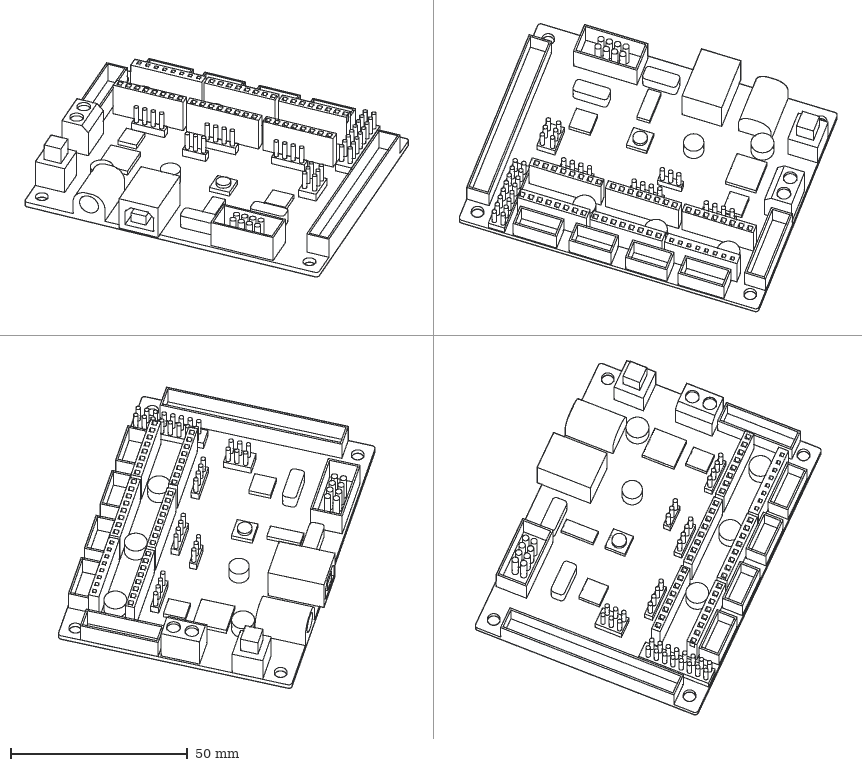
import cadquery as cq


board_length = 89.8
board_width = 68.55
board_thickness = 1.6
board_corner_radius = 1.0
mount_hole_diameter = 3.6
mount_hole_left_inset = 3.8
mount_hole_right_inset = 4.3
mount_hole_edge_inset = 4.1
edge_gap = 0.045

header_base_height = 2.3
header_pin_top = 7.5
header_pin_diameter = 1.3
socket_height = 10.1
socket_contact_count = 8
socket_contact_depth = 2.7
shroud_wall = 0.5
shroud_floor = 0.5
shroud_height = 6.4
chip_height = 1.35
capacitor_height = 4.0
capacitor_diameter = 6.5
crystal_height = 4.0
crystal_corner_radius = 1.1


def block(corner, size, height):
    """Plain box standing on the board."""
    return (
        cq.Workplane("XY", origin=(corner[0], corner[1], board_thickness))
        .box(size[0], size[1], height, centered=False)
    )


def post(center, diameter, bottom, top):
    """Upright cylinder between two heights above the board."""
    return (
        cq.Workplane("XY", origin=(center[0], center[1], board_thickness + bottom))
        .circle(diameter / 2)
        .extrude(top - bottom)
    )


def grid_points(first, span, counts):
    """Evenly spaced points: counts per direction over the given span from the first point."""
    step_x = span[0] / max(counts[0] - 1, 1)
    step_y = span[1] / max(counts[1] - 1, 1)
    return [
        (first[0] + column * step_x, first[1] + row * step_y)
        for column in range(counts[0])
        for row in range(counts[1])
    ]


def pin_header(corner, size, pin_inset, pin_span, pin_counts):
    """Low plastic base with upright round pins; the inset is from the base corner."""
    first_pin = (corner[0] + pin_inset[0], corner[1] + pin_inset[1])
    header = block(corner, size, header_base_height)
    for point in grid_points(first_pin, pin_span, pin_counts):
        header = header.union(post(point, header_pin_diameter, header_base_height, header_pin_top))
    return header


def socket_strip(corner, size, contact_inset, contact_span, contact_size):
    """Tall strip with one row of square contact openings in its top."""
    first_contact = (corner[0] + contact_inset[0], corner[1] + contact_inset[1])
    points = grid_points(first_contact, (contact_span, 0), (socket_contact_count, 1))
    openings = (
        cq.Workplane("XY", origin=(0, 0, board_thickness + socket_height - socket_contact_depth))
        .pushPoints(points)
        .rect(contact_size, contact_size)
        .extrude(socket_contact_depth)
    )
    return block(corner, size, socket_height).cut(openings)


def shroud(corner, size, height):
    """Thin-walled open box with a thin floor."""
    inner_size = (size[0] - 2 * shroud_wall, size[1] - 2 * shroud_wall)
    inner_corner = (corner[0] + shroud_wall, corner[1] + shroud_wall)
    cavity = block(inner_corner, inner_size, height).translate((0, 0, shroud_floor))
    return block(corner, size, height).cut(cavity)


def make_board():
    """Rounded rectangular plate with a mounting hole near each corner."""
    hole_left_x = mount_hole_left_inset
    hole_right_x = board_length - mount_hole_right_inset
    hole_span = (hole_right_x - hole_left_x, board_width - 2 * mount_hole_edge_inset)
    hole_points = grid_points((hole_left_x, mount_hole_edge_inset), hole_span, (2, 2))
    return (
        cq.Workplane("XY")
        .box(board_length, board_width, board_thickness, centered=False)
        .edges("|Z")
        .fillet(board_corner_radius)
        .faces(">Z")
        .workplane(origin=(0, 0, 0))
        .pushPoints(hole_points)
        .hole(mount_hole_diameter)
    )


def make_socket_strips():
    """Two rows of three socket strips along the back of the board."""
    back_y = 58.85
    back_depth = 3.05
    front_y = 48.15
    front_depth = 2.6
    small_contact = 1.0
    large_contact = 1.35
    return [
        socket_strip((8.6, back_y), (21.7, back_depth), (1.8, 1.8), 18.2, small_contact),
        socket_strip((31.1, back_y), (21.65, back_depth), (1.6, 1.6), 18.9, large_contact),
        socket_strip((53.7, back_y), (20.75, back_depth), (1.35, 1.6), 18.5, large_contact),
        socket_strip((7.6, front_y), (21.4, front_depth), (1.4, 1.4), 18.4, large_contact),
        socket_strip((30.0, front_y), (22.0, front_depth), (1.7, 1.3), 18.5, large_contact),
        socket_strip((53.4, front_y), (21.5, front_depth), (1.1, 1.3), 18.7, large_contact),
    ]


def make_shrouds():
    """Long shrouds on the left and right edges and four short ones on the back edge."""
    back_y = 62.2
    back_depth = 6.1
    parts = [
        shroud((edge_gap, 39.1), (6.3, 22.8), shroud_height),
        shroud((83.1, 8.1), (6.7, 53.4), shroud_height),
    ]
    for left_x, length in [(10.3, 13.7), (27.4, 12.4), (44.1, 12.6), (60.5, 13.0)]:
        parts.append(shroud((left_x, back_y), (length, back_depth), shroud_height))
    return parts


def make_pin_headers():
    """Three four-pin rows, a three-pin row, a six-pin block and a sixteen-pin block."""
    row_y = 43.1
    row_size = (10.1, 2.3)
    row_inset = (1.0, 1.2)
    parts = [
        pin_header((left_x, row_y), row_size, row_inset, (7.7, 0), (4, 1))
        for left_x in (15.3, 36.9, 58.0)
    ]
    parts.append(pin_header((33.3, 37.0), (7.1, 2.1), (1.1, 1.1), (4.9, 0), (3, 1)))
    parts.append(pin_header((71.1, 31.4), (5.4, 8.1), (1.1, 1.9), (3.05, 5.1), (2, 3)))
    parts.append(pin_header((76.1, 46.8), (4.85, 21.5), (0.9, 2.3), (2.6, 17.8), (2, 8)))
    return parts


def make_box_header():
    """Shrouded eight-pin connector near the front edge."""
    height = 8.1
    pin_top = 8.5
    pin_diameter = 1.8
    body = shroud((56.8, 0.7), (19.05, 9.3), height)
    for point in grid_points((62.3, 3.95), (7.5, 2.6), (4, 2)):
        body = body.union(post(point, pin_diameter, shroud_floor, pin_top))
    return body


def make_terminal_block():
    """Two-screw terminal block whose inner top edge is cut by a sloping face."""
    left_x = 0.5
    front_y = 27.0
    length = 8.1
    width = 11.3
    height = 10.1
    slope_size = 2.0
    screw_x = 3.8
    first_screw_y = 30.2
    screw_spacing = 5.4
    screw_diameter = 3.9
    screw_depth = 1.0
    screw_points = grid_points((screw_x, first_screw_y), (0, screw_spacing), (1, 2))
    body = block((left_x, front_y), (length, width), height)
    body = body.edges(">X and >Z").chamfer(slope_size)
    for point in screw_points:
        body = body.cut(post(point, screw_diameter, height - screw_depth, height))
    return body


def make_power_switch():
    """Square switch body with a centered square knob."""
    side = 9
    body_height = 8.4
    knob_side = 5.1
    knob_top = 13.5
    left_x = edge_gap
    knob_inset = (side - knob_side) / 2
    front_y = 8.4
    body = block((left_x, front_y), (side, side), body_height)
    knob_corner = (left_x + knob_inset, front_y + knob_inset)
    return body.union(block(knob_corner, (knob_side, knob_side), knob_top))


def make_power_jack():
    """Barrel jack with rounded shoulders and a blind round bore in its front face."""
    left_x = 15.0
    width = 9.7
    length = 14.7
    height = 8.4
    shoulder_radius = 4.0
    bore_diameter = 5.75
    bore_height = 4.6
    bore_depth = 10.8
    body = block((left_x, 0), (width, length), height)
    body = body.edges("|Y and >Z").fillet(shoulder_radius)
    bore = (
        cq.Workplane("XZ", origin=(left_x + width / 2, 0, board_thickness + bore_height))
        .circle(bore_diameter / 2)
        .extrude(-bore_depth)
    )
    return body.cut(bore)


def make_usb_socket():
    """USB socket overhanging the front edge; a tongue stands inside its port."""
    left_x = 29.65
    width = 11.9
    overhang = 1.4
    length = 16.4
    height = 10.3
    port_inset = 1.8
    port_width = 8.7
    port_bottom = 1.7
    port_height = 6.4
    port_chamfer = 1.7
    port_depth = 8.1
    tongue_width = 4.5
    tongue_inset = 1.9
    tongue_bottom = 3.3
    tongue_height = 3.05
    port_x = left_x + port_inset
    tongue_x = port_x + tongue_inset
    port_corner = (port_x, -overhang)
    tongue_corner = (tongue_x, -overhang)
    port = block(port_corner, (port_width, port_depth), port_height).translate((0, 0, port_bottom))
    port = port.edges("|Y and >Z").chamfer(port_chamfer)
    tongue = block(tongue_corner, (tongue_width, port_depth), tongue_height)
    tongue = tongue.translate((0, 0, tongue_bottom))
    return block((left_x, -overhang), (width, length), height).cut(port.cut(tongue))


def make_capacitors():
    """Four large round capacitors and a smaller one."""
    small_diameter = 5.75
    parts = [
        post(center, capacitor_diameter, 0, capacitor_height)
        for center in [(13.5, 55.3), (35.2, 55.3), (57.0, 54.5), (16.2, 18.6)]
    ]
    parts.append(post((34.6, 24.9), small_diameter, 0, capacitor_height))
    return parts


def make_crystals():
    """Two crystal cans with rounded corners."""
    return [
        block(corner, size, crystal_height).edges("|Z").fillet(crystal_corner_radius)
        for corner, size in [((45.3, 5.4), (10.2, 4.3)), ((62.35, 16.0), (10.4, 4.0))]
    ]


def make_chips():
    """Four flat rectangular chips."""
    return [
        block((14.4, 35.1), (5.7, 6.4), chip_height),
        block((13.3, 22.7), (9.1, 9.8), chip_height),
        block((63.8, 23.7), (6.4, 6.4), chip_height),
        block((49.2, 11.0), (3.9, 9.8), chip_height),
    ]


def make_reset_button():
    """Low square base with a round push cap."""
    left_x = 46.7
    front_y = 24.35
    side = 6.1
    base_height = 1.35
    cap_diameter = 4.1
    cap_top = 2.3
    center = (left_x + side / 2, front_y + side / 2)
    return block((left_x, front_y), (side, side), base_height).union(
        post(center, cap_diameter, base_height, cap_top)
    )


components = [
    *make_socket_strips(),
    *make_shrouds(),
    *make_pin_headers(),
    *make_capacitors(),
    *make_crystals(),
    *make_chips(),
    make_box_header(),
    make_terminal_block(),
    make_power_switch(),
    make_power_jack(),
    make_usb_socket(),
    make_reset_button(),
]

result = make_board()
for component in components:
    result = result.union(component)